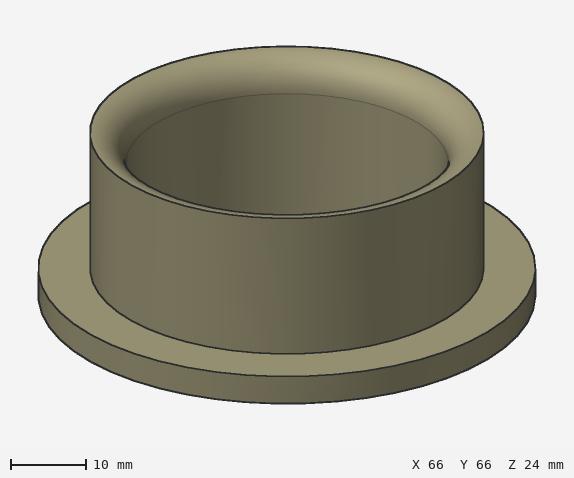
import cadquery as cq

flange_diameter = 66.0
flange_thickness = 4.0
sleeve_diameter = 52.3
bore_diameter = 42.9
total_height = 24.0

flange_radius = flange_diameter / 2
sleeve_radius = sleeve_diameter / 2
bore_radius = bore_diameter / 2

mouth_radius = sleeve_radius - bore_radius
mouth_start = total_height - mouth_radius

section = (
    cq.Workplane("XZ")
    .moveTo(bore_radius, 0)
    .lineTo(flange_radius, 0)
    .lineTo(flange_radius, flange_thickness)
    .lineTo(sleeve_radius, flange_thickness)
    .lineTo(sleeve_radius, total_height)
    .radiusArc((bore_radius, mouth_start), -mouth_radius)
    .close()
)

result = section.revolve(360, (0, 0, 0), (0, 1, 0))